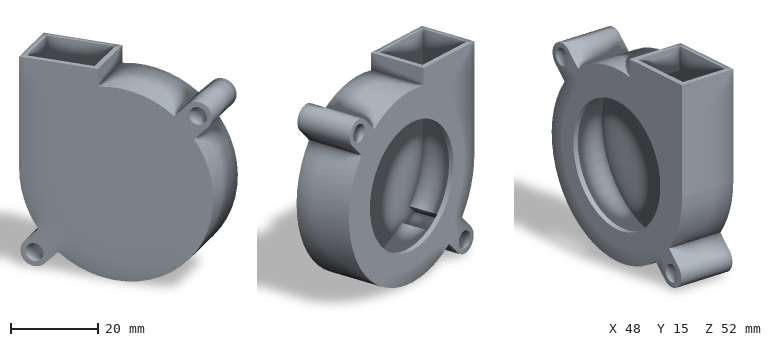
import cadquery as cq
import math

overall_height = 51.95
scroll_radius = 24.0
outlet_top = overall_height - scroll_radius
outlet_width = 19.45
depth = 15.0
wall = 1.3
lug_offset = 20.2
lug_radius = 3.5
lug_hole_radius = 4.4 / 2
intake_radius = 32.0 / 2

lug_distance = math.hypot(lug_offset, lug_offset)
lug_angles = (45, 225)


def cylinder(radius, length, x=0, z=0):
    """Cylinder along Y, centred on y = 0."""
    return cq.Workplane("XZ").center(x, z).circle(radius).extrude(length / 2, both=True)


def housing_body(inset, length, mouth):
    """Scroll, outlet duct and lugs, inset all round except at the outlet mouth."""
    radius = scroll_radius - inset
    duct_width = outlet_width - 2 * inset
    duct = (
        cq.Workplane("XZ")
        .moveTo(-radius, 0)
        .lineTo(-radius, mouth)
        .lineTo(-radius + duct_width, mouth)
        .lineTo(-radius + duct_width, 0)
        .close()
        .extrude(length / 2, both=True)
    )
    body = cylinder(radius, length).union(duct)
    lug_width = 2 * (lug_radius - inset)
    for angle in lug_angles:
        arm = (
            cq.Workplane("XY")
            .box(lug_distance, length, lug_width)
            .translate((lug_distance / 2, 0, 0))
            .rotate((0, 0, 0), (0, 1, 0), -angle)
        )
        body = body.union(arm)
    return body


outside = housing_body(0, depth, outlet_top)
cavity = housing_body(wall, depth - 2 * wall, outlet_top)

for side in (1, -1):
    position = side * lug_offset
    outside = outside.union(cylinder(lug_radius, depth, position, position))
    cavity = cavity.cut(cylinder(lug_hole_radius + wall, depth, position, position))

housing = outside.cut(cavity)

for side in (1, -1):
    position = side * lug_offset
    housing = housing.cut(cylinder(lug_hole_radius, depth, position, position))

intake = (
    cq.Workplane("XZ", origin=(0, depth / 2, 0))
    .circle(intake_radius)
    .extrude(wall)
)
result = housing.cut(intake)